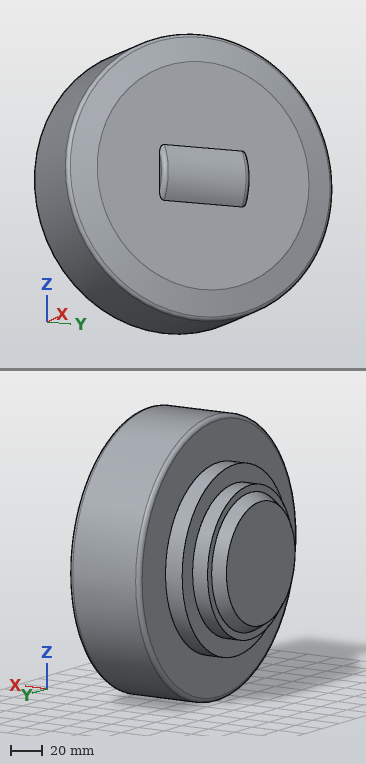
import cadquery as cq
import math

outer_radius = 92.4
roller_start = 31.8
roller_end = 89.5
roller_edge_fillet = 3.0
end_face_radius = 73.5
bevel_angle = 15.0

tip_radius = 40.0
tip_base_radius = 45.0
tip_end = 8.0
pin_radius = 49.9
pin_end = 19.2
collar_radius = 62.0

overall_length = 95.7
side_roller_radius = 29.0
side_roller_length = 60.6
side_roller_fillet = 3.3

bevel_depth = (outer_radius - end_face_radius) * math.tan(math.radians(bevel_angle))
bevel_start = roller_end - bevel_depth
side_roller_x = overall_length - side_roller_radius


def make_main_roller():
    profile = [
        (roller_start, 0),
        (roller_start, outer_radius),
        (bevel_start, outer_radius),
        (roller_end, end_face_radius),
        (roller_end, 0),
    ]
    body = cq.Workplane("XY").polyline(profile).close().revolve(360, (0, 0, 0), (1, 0, 0))
    rim_edges = body.edges(cq.selectors.RadiusNthSelector(-1))
    return rim_edges.fillet(roller_edge_fillet)


def make_stepped_pin():
    profile = [
        (0, 0),
        (0, tip_radius),
        (tip_end, tip_base_radius),
        (tip_end, pin_radius),
        (pin_end, pin_radius),
        (pin_end, collar_radius),
        (roller_start, collar_radius),
        (roller_start, 0),
    ]
    return cq.Workplane("XY").polyline(profile).close().revolve(360, (0, 0, 0), (1, 0, 0))


def make_side_roller():
    body = (
        cq.Workplane("XZ")
        .center(side_roller_x, 0)
        .circle(side_roller_radius)
        .extrude(side_roller_length / 2, both=True)
    )
    return body.edges("%CIRCLE").fillet(side_roller_fillet)


result = make_main_roller().union(make_stepped_pin()).union(make_side_roller())